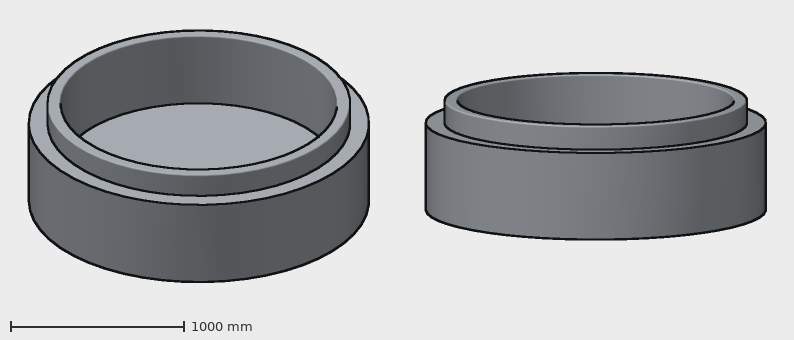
import cadquery as cq

outer_diameter = 1966.0
total_height = 645.0

collar_diameter = 1750.0
collar_height = 135.0
rim_fillet = 10.0

cavity_diameter = 1596.0
floor_thickness = 202.0

body_height = total_height - collar_height


def disc(diameter, bottom, top):
    """Upright cylinder on the Z axis between two heights."""
    return cq.Workplane("XY").workplane(offset=bottom).circle(diameter / 2).extrude(top - bottom)


body = disc(outer_diameter, 0, body_height)
collar = disc(collar_diameter, 0, total_height)
cavity = disc(cavity_diameter, floor_thickness, total_height)

result = body.union(collar).cut(cavity).faces(">Z").edges().fillet(rim_fillet)